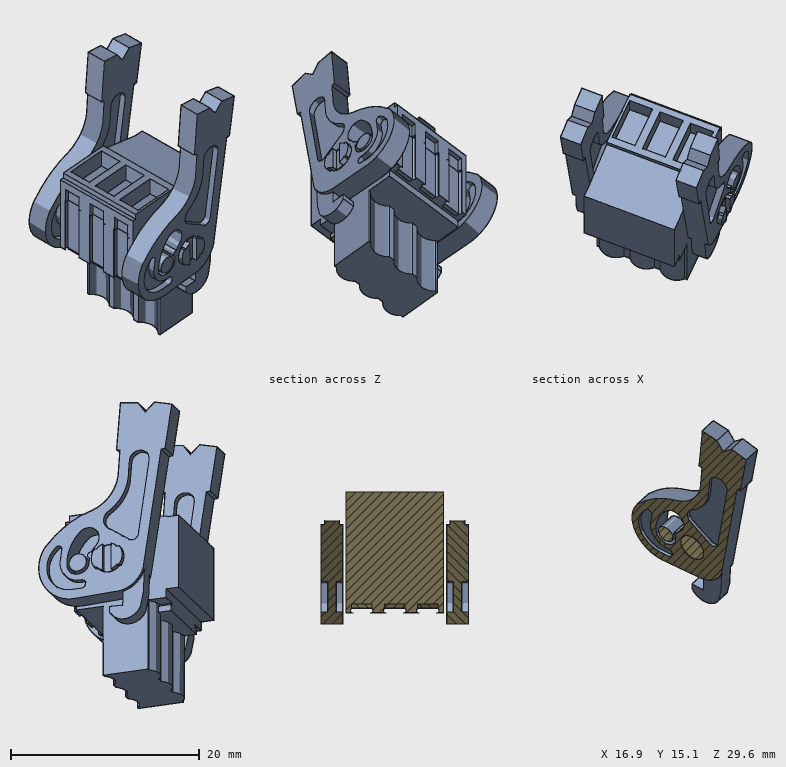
import cadquery as cq
import math


pitch = 3.5
pole_count = 3
half_width = 5.2
back = 6.9
front = -5.93
top = 6.55
bottom = -3.25
shoulder_back = 4.92
slope_start = 5.85
slope_top = 6.05
ridge_y = 0.8
rim_step_y = 0.45
rim_step_z = 0.65

plinth_back = 5.5
plinth_front = -4.72
plinth_bottom = -4.25

block_back = 3.45
block_front = -1.65
block_bottom = -12.1
lobe_radius = 1.87
lobe_half_width = 1.41

catch_bottom = -5.2
catch_neck_bottom = -4.5
catch_half_width = 3.7
catch_neck_half_width = 3.4

pocket_width = 2.65
pocket_offset = 0.1
pocket_back = 0.0
pocket_front = -4.78
pocket_depth = 2.05

slot_half_width = 0.95
slot_depth = 0.47
slot_top = 4.95
channel_half_width = 1.05
channel_bulge_half_width = 1.2
channel_bulge_depth = 0.2

strip_top = 3.23
strip_thickness = 0.45

lever_inner = 5.5
lever_outer = 7.83
lever_middle = (lever_inner + lever_outer) / 2
lever_thickness = lever_outer - lever_inner
recess_depth = 0.7
tab_thickness = 1.57
nose_y = -3.97
nose_radius = 4.0

pin_reach = 8.45
pin_radius = 1.55
head_base = lever_outer + 0.1
barb_radius = 1.75
barb_half_height = 1.05
pin_slot_width = 0.98
cam_orbit = 3.5
cam_radius = 0.98
cam_clearance = 0.3
cam_swing = 47.0
bump_angle = 18.0
bump_orbit = 2.17
bump_radius = 0.35

pivot = (0, 0)
pole_places = [pitch * (i - (pole_count - 1) / 2) for i in range(pole_count)]


def box(x0, x1, y0, y1, z0, z1):
    """Box between two corners."""
    return cq.Workplane("XY").box(x1 - x0, y1 - y0, z1 - z0, centered=False).translate((x0, y0, z0))


def side_plane(x):
    """Sketch plane across the pivot axis, with coordinates (y, z)."""
    return cq.Workplane("YZ", origin=(x, 0, 0))


def on_orbit(radius, angle):
    """Point (y, z) around the pivot axis, with the angle in degrees from the front, upwards."""
    turn = math.radians(angle)
    return (-radius * math.cos(turn), radius * math.sin(turn))


def cylinder(x0, x1, centre, radius):
    """Cylinder along X between two places, with its centre at (y, z)."""
    return side_plane(x0).moveTo(*centre).circle(radius).extrude(x1 - x0)


def main_box():
    outline = [
        (back, bottom),
        (back, shoulder_back),
        (slope_start, shoulder_back),
        (ridge_y, slope_top),
        (ridge_y, top),
        (front + rim_step_y, top),
        (front + rim_step_y, top - rim_step_z),
        (front, top - rim_step_z),
        (front, bottom),
    ]
    return side_plane(-half_width).polyline(outline).close().extrude(2 * half_width)


def segment(x, y):
    """Circular segment from the block bottom to the plinth, bulging to +Y from its chord at y."""
    rise = lobe_radius - math.sqrt(lobe_radius**2 - lobe_half_width**2)
    return (
        cq.Workplane("XY", origin=(x, y, block_bottom))
        .moveTo(-lobe_half_width, 0)
        .threePointArc((0, rise), (lobe_half_width, 0))
        .close()
        .extrude(plinth_bottom - block_bottom)
    )


def wire_block():
    block = box(-half_width, half_width, block_front, block_back, block_bottom, plinth_bottom)
    for x in pole_places:
        block = block.cut(segment(x, block_front)).union(segment(x, block_back))
    return block


def catch():
    neck = box(-catch_neck_half_width, catch_neck_half_width, block_back, plinth_back,
               catch_neck_bottom, plinth_bottom)
    bar = box(-catch_half_width, catch_half_width, block_back, plinth_back,
              catch_bottom, catch_neck_bottom)
    return neck.union(bar)


def roof_pocket(x):
    middle = x + pocket_offset
    return box(middle - pocket_width / 2, middle + pocket_width / 2, pocket_front, pocket_back,
               top - pocket_depth, top)


def front_slot(x):
    """Slot down the front wall, with an undercut channel behind its edges along the strip."""
    slot = box(x - slot_half_width, x + slot_half_width, front, front + slot_depth, bottom, slot_top)
    channel_back = front + slot_depth
    bulge_y = front + channel_bulge_depth
    channel = (
        cq.Workplane("XY", origin=(x, 0, bottom))
        .moveTo(-slot_half_width, front)
        .threePointArc((-channel_bulge_half_width, bulge_y), (-channel_half_width, channel_back))
        .lineTo(channel_half_width, channel_back)
        .threePointArc((channel_bulge_half_width, bulge_y), (slot_half_width, front))
        .close()
        .extrude(strip_top - bottom)
    )
    return slot.union(channel)


def contact_strip(x):
    strip_front = front + slot_depth
    return box(x - channel_half_width, x + channel_half_width,
               strip_front, strip_front + strip_thickness, bottom, strip_top)


def pivot_pin():
    """Split snap pin on the +X side, with a barb on each half of its head."""
    shaft = cylinder(half_width, pin_reach, pivot, pin_radius)
    barbs = cylinder(head_base, pin_reach, pivot, barb_radius)
    barbs = barbs.intersect(box(head_base, pin_reach, -barb_radius, barb_radius,
                                -barb_half_height, barb_half_height))
    split = box(head_base, pin_reach, -pin_slot_width / 2, pin_slot_width / 2,
                -barb_radius, barb_radius)
    return shaft.union(barbs).cut(split)


def cam_pin():
    return cylinder(half_width, head_base, on_orbit(cam_orbit, 0), cam_radius)


def make_housing():
    body = main_box()
    body = body.union(box(-half_width, half_width, plinth_front, plinth_back, plinth_bottom, bottom))
    body = body.union(wire_block()).union(catch())
    for x in pole_places:
        body = body.cut(roof_pocket(x)).cut(front_slot(x)).cut(contact_strip(x))
    pins = pivot_pin().union(cam_pin())
    return body.union(pins).union(pins.mirror("YZ"))


def on_nose(angle):
    """Point (y, z) on the round nose of the lever."""
    y, z = on_orbit(nose_radius, angle)
    return (nose_y + y, z)


def lever_plate():
    return (
        side_plane(lever_inner)
        .moveTo(7.15, 16.58)
        .lineTo(5.2, 17.08)
        .lineTo(4.12, 16.1)
        .lineTo(3.3, 17.25)
        .lineTo(1.3, 17.55)
        .lineTo(0.85, 12.28)
        .lineTo(1.25, 12.15)
        .lineTo(1.05, 9.3)
        .threePointArc((0.2, 7.27), (-1.9, 5.75))
        .threePointArc((-4.55, 4.63), (-6.9, 2.65))
        .lineTo(*on_nose(35))
        .threePointArc(on_nose(-27), on_nose(-90))
        .lineTo(0.6, -3.85)
        .threePointArc((2.65, -3.3), (3.9, -1.63))
        .lineTo(5.93, 11.6)
        .lineTo(6.38, 11.65)
        .close()
        .extrude(lever_thickness)
    )


def hook_tab():
    """Thinner hook that hangs from the bottom of the lever."""
    return (
        side_plane(lever_middle - tab_thickness / 2)
        .moveTo(3.9, -1.63)
        .lineTo(3.77, -4.25)
        .lineTo(3.45, -5.78)
        .threePointArc((1.75, -6.95), (-0.05, -6.0))
        .lineTo(-0.05, -5.3)
        .lineTo(1.42, -5.37)
        .lineTo(1.48, -2.97)
        .close()
        .extrude(tab_thickness)
    )


def arm_recess(x):
    return (
        side_plane(x)
        .moveTo(4.57, 10.55)
        .threePointArc((3.47, 11.83), (2.35, 10.91))
        .lineTo(2.22, 9.5)
        .threePointArc((1.48, 6.88), (-0.15, 5.3))
        .threePointArc((-0.6, 4.35), (-0.1, 3.5))
        .lineTo(2.2, 1.95)
        .threePointArc((2.95, 1.8), (3.35, 2.35))
        .close()
        .extrude(recess_depth)
    )


def crescent_recess(x):
    return (
        side_plane(x)
        .moveTo(-5.35, 1.78)
        .threePointArc((-5.6, 2.2), (-6.08, 2.02))
        .threePointArc((-6.82, -1.22), (-4.15, -2.95))
        .lineTo(-3.15, -2.95)
        .threePointArc((-2.65, -2.43), (-3.15, -2.0))
        .threePointArc((-4.98, -1.25), (-5.55, 0.3))
        .close()
        .extrude(recess_depth)
    )


def cam_slot():
    """Curved slot around the pivot axis, with a detent bump on its inner wall."""
    half = cam_radius + cam_clearance
    inner = cam_orbit - half
    outer = cam_orbit + half
    slot = (
        side_plane(lever_inner)
        .moveTo(*on_orbit(outer, 0))
        .threePointArc(on_orbit(outer, cam_swing / 2), on_orbit(outer, cam_swing))
        .lineTo(*on_orbit(inner, cam_swing))
        .threePointArc(on_orbit(inner, cam_swing / 2), on_orbit(inner, 0))
        .close()
        .extrude(lever_thickness)
    )
    for angle in (0, cam_swing):
        slot = slot.union(cylinder(lever_inner, lever_outer, on_orbit(cam_orbit, angle), half))
    bump = cylinder(lever_inner, lever_outer, on_orbit(bump_orbit, bump_angle), bump_radius)
    return slot.cut(bump)


def make_lever():
    """Lever on the +X side, alike on both faces."""
    lever = lever_plate().union(hook_tab())
    for x in (lever_inner, lever_outer - recess_depth):
        lever = lever.cut(arm_recess(x)).cut(crescent_recess(x))
    bore = cylinder(lever_inner, lever_outer, pivot, pin_radius)
    return lever.cut(bore).cut(cam_slot())


housing = make_housing()
right_lever = make_lever()
levers = [right_lever, right_lever.mirror("YZ")]
strips = [contact_strip(x) for x in pole_places]

result = cq.Compound.makeCompound(
    [housing.val()] + [lever.val() for lever in levers] + [strip.val() for strip in strips]
)